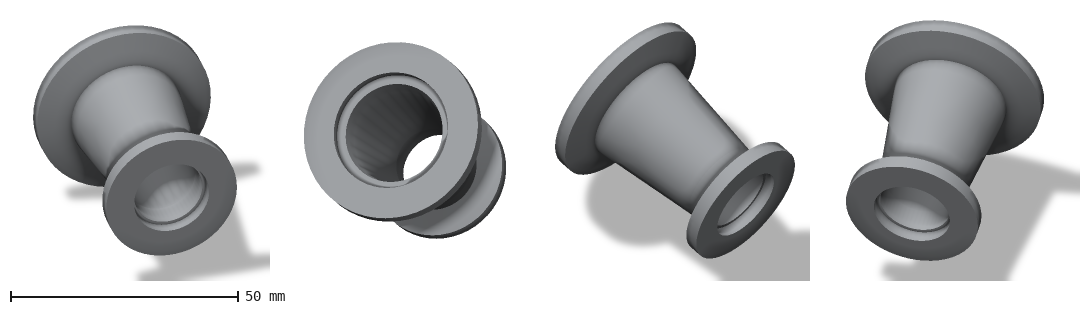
import cadquery as cq
import math

length = 39.9

full_turn = 360
axis_start = (0, 0, 0)
axis_end = (1, 0, 0)

large_flange_radius = 39.9 / 2
small_flange_radius = 30.0 / 2
rim_thickness = 3.2
flange_back_slope = math.radians(15)

large_tube_radius = 25.4 / 2
small_tube_radius = 19.1 / 2
large_bore_radius = 22.2 / 2
small_bore_radius = 15.7 / 2
small_collar_start = 31.8

large_recess_radius = 26.16 / 2
small_recess_radius = 17.27 / 2
recess_depth = 2.6


def flange_back_length(flange_radius, tube_radius):
    """Axial length of the sloped clamping face between rim and tube."""
    return (flange_radius - tube_radius) * math.tan(flange_back_slope)


large_flange_end = rim_thickness + flange_back_length(large_flange_radius, large_tube_radius)
small_rim_start = length - rim_thickness
small_flange_start = small_rim_start - flange_back_length(small_flange_radius, small_tube_radius)


def make_body():
    """Solid of revolution: large flange, tapered tube, straight collar, small flange."""
    return (
        cq.Workplane("XZ")
        .moveTo(0, 0)
        .lineTo(0, large_flange_radius)
        .lineTo(rim_thickness, large_flange_radius)
        .lineTo(large_flange_end, large_tube_radius)
        .lineTo(small_collar_start, small_tube_radius)
        .lineTo(small_flange_start, small_tube_radius)
        .lineTo(small_rim_start, small_flange_radius)
        .lineTo(length, small_flange_radius)
        .lineTo(length, 0)
        .close()
        .revolve(full_turn, axis_start, axis_end)
    )


def make_bore():
    """Tapered through bore with a cylindrical seal recess at each end."""
    return (
        cq.Workplane("XZ")
        .moveTo(0, 0)
        .lineTo(0, large_recess_radius)
        .lineTo(recess_depth, large_recess_radius)
        .lineTo(recess_depth, large_bore_radius)
        .lineTo(small_collar_start, small_bore_radius)
        .lineTo(length - recess_depth, small_bore_radius)
        .lineTo(length - recess_depth, small_recess_radius)
        .lineTo(length, small_recess_radius)
        .lineTo(length, 0)
        .close()
        .revolve(full_turn, axis_start, axis_end)
    )


result = make_body().cut(make_bore())